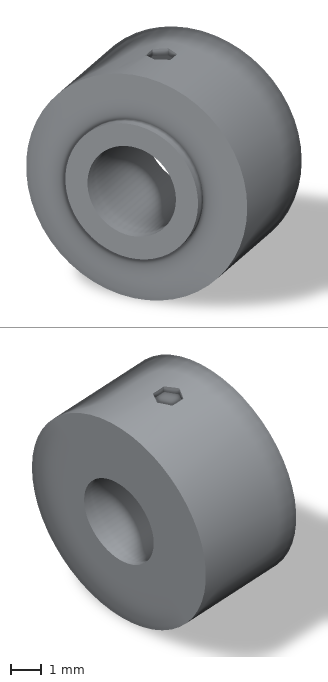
import cadquery as cq
import math

INCH = 25.4

outer_diameter = 5 / 16 * INCH
hub_diameter = 3 / 16 * INCH
bore_diameter = 1 / 8 * INCH
total_length = 0.180 * INCH
hub_length = 0.015 * INCH
socket_across_flats = 0.035 * INCH
socket_depth = 0.010 * INCH

front_y = -total_length / 2
body_length = total_length - hub_length
socket_across_corners = socket_across_flats / math.cos(math.pi / 6)
socket_floor_z = outer_diameter / 2 - socket_depth


def cylinder_along_y(diameter, start_y, length):
    """Cylinder on the Y axis, running from start_y toward +Y."""
    plane = cq.Workplane("XZ", origin=(0, start_y, 0))
    return plane.circle(diameter / 2).extrude(-length)


def collar():
    """Round body with a short raised hub on its -Y face and a through bore."""
    body = cylinder_along_y(outer_diameter, front_y + hub_length, body_length)
    hub = cylinder_along_y(hub_diameter, front_y, total_length)
    bore = cylinder_along_y(bore_diameter, front_y, total_length)
    return body.union(hub).cut(bore)


def hex_socket():
    """Hexagonal set screw socket, sunk from the top with two corners along Y."""
    return (
        cq.Workplane("XY", origin=(0, 0, socket_floor_z))
        .transformed(rotate=(0, 0, 90))
        .polygon(6, socket_across_corners)
        .extrude(socket_depth)
    )


result = collar().cut(hex_socket())